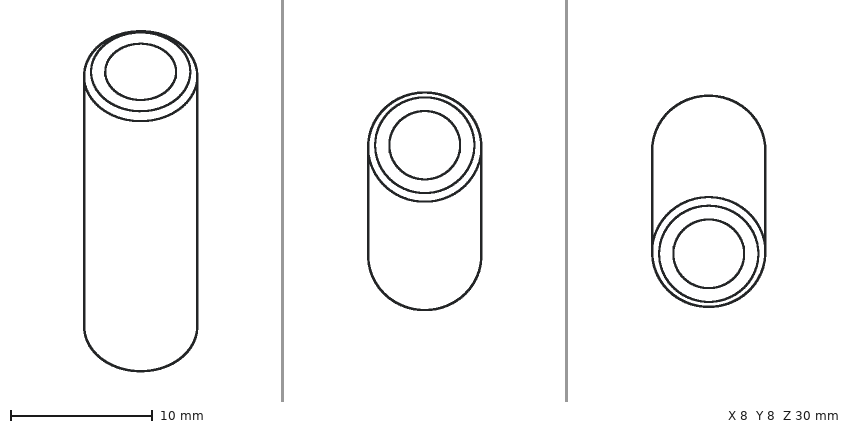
import cadquery as cq

LENGTH = 30.0
OUTER_DIAMETER = 8.0
BORE_DIAMETER = 5.0
CHAMFER = 0.5


def sleeve_body():
    """Solid cylinder along Z with both outer rims chamfered."""
    cylinder = cq.Workplane("XY").circle(OUTER_DIAMETER / 2).extrude(LENGTH)
    return cylinder.faces("<Z or >Z").edges().chamfer(CHAMFER)


def cut_bore(body):
    """Plain round bore through the full length."""
    return body.faces(">Z").workplane().hole(BORE_DIAMETER)


result = cut_bore(sleeve_body())